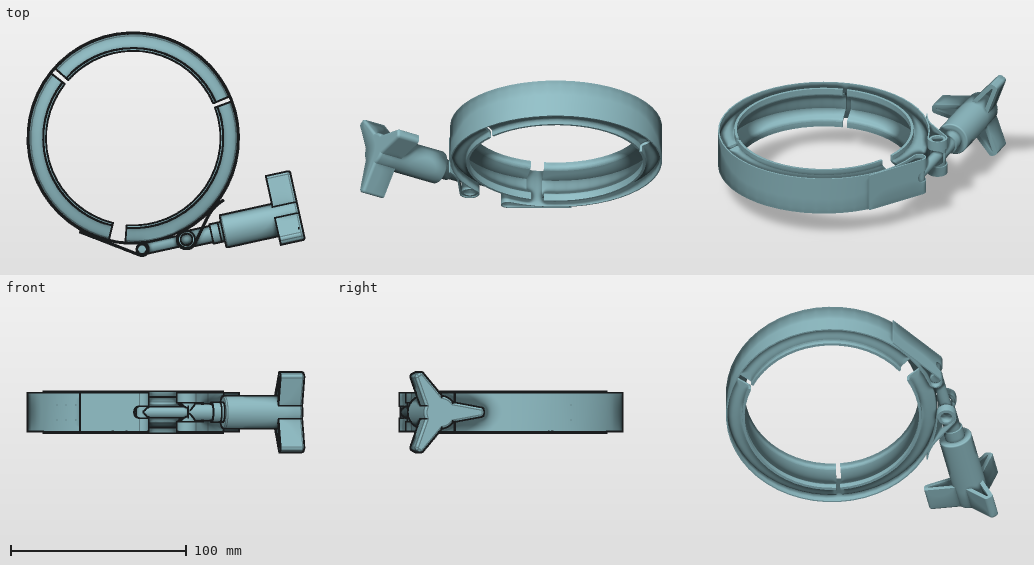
import cadquery as cq
import math

STRAP_OUTER_R = 60.15
STRAP_T = 0.76
STRAP_WIDTH = 22.1
FOLD_GAP = 0.05
BOLT_EYE_ANGLE = -85.5
BOLT_TAIL_LENGTH = 8.9
TRUNNION_EYE_ANGLE = -62.25
TRUNNION_TAIL_R = 24.0
TRUNNION_TAIL_TOUCH = -41.3
TRUNNION_TAIL_SWEEP = 17.5
BOLT_HOLE_D = 6.73
TRUNNION_EYE_D = 9.77
TRUNNION_SLOT_HEIGHT = 10.6

SEGMENT_STARTS = [23.4, 141.7, 265.6]
SEGMENT_SPAN = 114.9
SEGMENT_HEIGHT = 24.0
SEGMENT_T = 1.5
LEG_TILT = 20.0
LIP_OUTER_R = 51.0
LIP_ROOT_Z = 8.6
BEND_R = 1.7
LIP_ROOT_FILLET = 0.4

ROD_D = 6.35
CROSS_PIN_D = 6.3
CROSS_PIN_LENGTH = 15.5
CROSS_PIN_END_D = 5.36
ROD_END = 62.0

TRUNNION_D = 9.53
TRUNNION_LENGTH = 20.6
TRUNNION_BORE_D = 6.73
ROD_ENTRY_D = 10.6
SLEEVE_END = 40.4

COLLAR_D = 11.43
SPACER_END = 45.2
KNOB_START = 47.0
KNOB_END = 91.6
KNOB_D = 18.92
KNOB_FRONT_FILLET = 0.8
WING_COUNT = 3
WING_START = 77.5
WING_TIP_DISTANCE = 25.61
WING_TIP_HALF_WIDTH = 2.45
WING_TIP_FILLET = 1.8
WING_ROOT_HALF_WIDTH = 7.1
WING_WALL = 2.5
WING_POCKET_DEPTH = 12.0
KNOB_REAR_FILLET = 1.5


def polar(radius, angle, center=(0, 0)):
    a = math.radians(angle)
    return (center[0] + radius * math.cos(a), center[1] + radius * math.sin(a))


STRAP_MID_R = STRAP_OUTER_R - STRAP_T / 2
STRAP_INNER_R = STRAP_OUTER_R - STRAP_T
TAIL_MID_R = STRAP_OUTER_R + FOLD_GAP + STRAP_T / 2
BOLT_EYE_MID_R = (CROSS_PIN_D + STRAP_T) / 2
TRUNNION_EYE_MID_R = (TRUNNION_EYE_D + STRAP_T) / 2
BOLT_EYE = polar(STRAP_MID_R + BOLT_EYE_MID_R, BOLT_EYE_ANGLE)
TRUNNION_EYE = polar(STRAP_MID_R + TRUNNION_EYE_MID_R, TRUNNION_EYE_ANGLE)
BOLT_ANGLE = math.degrees(
    math.atan2(TRUNNION_EYE[1] - BOLT_EYE[1], TRUNNION_EYE[0] - BOLT_EYE[0])
)
ROD_DIRECTION = polar(1, BOLT_ANGLE)
ROD_NORMAL = polar(1, BOLT_ANGLE + 90)
TRUNNION_DISTANCE = math.dist(BOLT_EYE, TRUNNION_EYE)


def rod_plane(distance):
    """Plane square to the rod; local x is across the rod in the XY plane and local y is Z."""
    origin = polar(distance, BOLT_ANGLE, BOLT_EYE)
    return cq.Plane(origin=(*origin, 0), xDir=(*ROD_NORMAL, 0), normal=(*ROD_DIRECTION, 0))


def rod_cylinder(diameter, start, end):
    return cq.Workplane(rod_plane(start)).circle(diameter / 2).extrude(end - start)


def upright_cylinder(center, diameter, height):
    return cq.Workplane("XY").center(*center).circle(diameter / 2).extrude(height / 2, both=True)


def retainer_segment(start):
    slope = math.tan(math.radians(LEG_TILT))
    leg_shift = SEGMENT_T / math.cos(math.radians(LEG_TILT))
    lip_inner = LIP_OUTER_R - SEGMENT_T
    base_inner = STRAP_INNER_R - SEGMENT_T

    def leg_z(radius):
        return LIP_ROOT_Z - (radius - LIP_OUTER_R) * slope

    upper_outside = [
        (STRAP_INNER_R, leg_z(STRAP_INNER_R)),
        (LIP_OUTER_R, LIP_ROOT_Z),
        (LIP_OUTER_R, SEGMENT_HEIGHT / 2),
    ]
    upper_inside = [
        (lip_inner, SEGMENT_HEIGHT / 2),
        (lip_inner, leg_z(lip_inner) - leg_shift),
        (base_inner, leg_z(base_inner) - leg_shift),
    ]
    upper = upper_outside + upper_inside
    lower = [(r, -z) for r, z in reversed(upper)]
    ring = (
        cq.Workplane("XZ")
        .polyline(upper + lower)
        .close()
        .revolve(SEGMENT_SPAN, (0, 0, 0), (0, 1, 0))
    )
    bends = [
        (leg_z(STRAP_INNER_R), BEND_R),
        (leg_z(lip_inner) - leg_shift, BEND_R),
        (LIP_ROOT_Z, LIP_ROOT_FILLET),
    ]
    for bend_z, radius in bends:
        for z in (bend_z, -bend_z):
            ring = ring.edges(level_box(z)).fillet(radius)
    return ring.rotate((0, 0, 0), (0, 0, 1), start)


def level_box(z):
    """Selects the edges that lie level at height z."""
    reach = 2 * STRAP_OUTER_R
    slack = 0.1
    return cq.selectors.BoxSelector(
        (-reach, -reach, z - slack), (reach, reach, z + slack), boundingbox=True
    )


segments = [retainer_segment(start) for start in SEGMENT_STARTS]


def arc_strip(center, mid_radius, start, end):
    """Strip bent along an arc that runs counterclockwise from start to end."""
    inner = mid_radius - STRAP_T / 2
    outer = mid_radius + STRAP_T / 2
    middle = (start + end) / 2
    return (
        cq.Workplane("XY")
        .moveTo(*polar(inner, start, center))
        .threePointArc(polar(inner, middle, center), polar(inner, end, center))
        .lineTo(*polar(outer, end, center))
        .threePointArc(polar(outer, middle, center), polar(outer, start, center))
        .close()
        .extrude(STRAP_WIDTH / 2, both=True)
    )


def straight_strip(start, end):
    length = math.dist(start, end)
    angle = math.degrees(math.atan2(end[1] - start[1], end[0] - start[0]))
    return (
        cq.Workplane("XY")
        .box(length, STRAP_T, STRAP_WIDTH)
        .rotate((0, 0, 0), (0, 0, 1), angle)
        .translate(((start[0] + end[0]) / 2, (start[1] + end[1]) / 2, 0))
    )


def bolt_eye_strips():
    """Eye around the cross pin and its straight tail, which lies tangent to the ring."""
    eye_distance = math.hypot(*BOLT_EYE)
    turn = math.degrees(math.acos((TAIL_MID_R - BOLT_EYE_MID_R) / eye_distance))
    tail_normal = BOLT_EYE_ANGLE - turn
    tail_start = polar(BOLT_EYE_MID_R, tail_normal, BOLT_EYE)
    tail_end = polar(BOLT_TAIL_LENGTH, tail_normal - 90, polar(TAIL_MID_R, tail_normal))
    eye = arc_strip(BOLT_EYE, BOLT_EYE_MID_R, tail_normal, BOLT_EYE_ANGLE + 180)
    hole_plane = cq.Plane(
        origin=(*BOLT_EYE, 0),
        xDir=(*polar(1, tail_normal + 90), 0),
        normal=(*polar(1, tail_normal), 0),
    )
    reach = 2 * BOLT_HOLE_D
    tail_hole = cq.Workplane(hole_plane).circle(BOLT_HOLE_D / 2).extrude(reach)
    bend_slot = (
        cq.Workplane(hole_plane)
        .center(reach / 2, 0)
        .rect(reach, BOLT_HOLE_D)
        .extrude(reach)
    )
    eye = eye.union(straight_strip(tail_start, tail_end))
    return eye.cut(tail_hole).cut(bend_slot)


def trunnion_eye_strips():
    """Eye around the trunnion, a straight stretch, and a tail that curves past the ring."""
    tail_center = polar(TAIL_MID_R + TRUNNION_TAIL_R, TRUNNION_TAIL_TOUCH)
    span_x = tail_center[0] - TRUNNION_EYE[0]
    span_y = tail_center[1] - TRUNNION_EYE[1]
    span_angle = math.degrees(math.atan2(span_y, span_x))
    radii = TRUNNION_EYE_MID_R + TRUNNION_TAIL_R
    normal = span_angle - math.degrees(math.acos(radii / math.hypot(span_x, span_y)))
    stretch_start = polar(TRUNNION_EYE_MID_R, normal, TRUNNION_EYE)
    stretch_end = polar(TRUNNION_TAIL_R, normal + 180, tail_center)
    tail_end_angle = TRUNNION_TAIL_TOUCH + 180 - TRUNNION_TAIL_SWEEP
    eye = arc_strip(TRUNNION_EYE, TRUNNION_EYE_MID_R, TRUNNION_EYE_ANGLE - 180, normal)
    tail = arc_strip(tail_center, TRUNNION_TAIL_R, tail_end_angle, normal + 180)
    slot = (
        cq.Workplane(rod_plane(TRUNNION_DISTANCE - TRUNNION_D))
        .center(-TRUNNION_D / 2, 0)
        .rect(2 * TRUNNION_D, TRUNNION_SLOT_HEIGHT)
        .extrude(SLEEVE_END - TRUNNION_DISTANCE + TRUNNION_D)
    )
    return eye.union(straight_strip(stretch_start, stretch_end)).union(tail).cut(slot)


ring = arc_strip((0, 0), STRAP_MID_R, TRUNNION_EYE_ANGLE, BOLT_EYE_ANGLE + 360)
rod_hole = rod_cylinder(BOLT_HOLE_D, 0, 2 * BOLT_HOLE_D)
strap = ring.union(bolt_eye_strips()).cut(rod_hole).union(trunnion_eye_strips())

pin_chamfer = (CROSS_PIN_D - CROSS_PIN_END_D) / 2
cross_pin = (
    upright_cylinder(BOLT_EYE, CROSS_PIN_D, CROSS_PIN_LENGTH)
    .faces("<Z or >Z")
    .chamfer(pin_chamfer)
)
t_bolt = cross_pin.union(rod_cylinder(ROD_D, 0, ROD_END))

trunnion = (
    upright_cylinder(TRUNNION_EYE, TRUNNION_D, TRUNNION_LENGTH)
    .union(rod_cylinder(TRUNNION_D, TRUNNION_DISTANCE, SLEEVE_END))
    .cut(upright_cylinder(TRUNNION_EYE, TRUNNION_BORE_D, TRUNNION_LENGTH))
    .cut(rod_cylinder(ROD_ENTRY_D, TRUNNION_DISTANCE - TRUNNION_D, TRUNNION_DISTANCE))
    .cut(rod_cylinder(BOLT_HOLE_D, TRUNNION_DISTANCE, SLEEVE_END))
)


def collar(start, end):
    return rod_cylinder(COLLAR_D, start, end).cut(rod_cylinder(ROD_D, start, end))


spacer = collar(SLEEVE_END, SPACER_END)
nut = collar(SPACER_END, KNOB_START)


def wing_section(start, inset):
    """Tapered wing section on a plane across the rod, set in from the wing outline."""
    taper = (WING_ROOT_HALF_WIDTH - WING_TIP_HALF_WIDTH) / WING_TIP_DISTANCE
    root = WING_ROOT_HALF_WIDTH - inset
    tip_distance = WING_TIP_DISTANCE - inset
    tip = root - taper * tip_distance
    corners = [(0, -root), (tip_distance, -tip), (tip_distance, tip), (0, root)]
    return cq.Workplane(rod_plane(start)).polyline(corners).close()


def turned(body, index):
    """The wing body turned about the rod to its place in the pattern."""
    axis_start = cq.Vector(*BOLT_EYE, 0)
    axis_end = axis_start + cq.Vector(*ROD_DIRECTION, 0)
    return body.rotate(axis_start, axis_end, index * 360 / WING_COUNT)


def knob_body():
    rod_axis = cq.Vector(*ROD_DIRECTION, 0)
    rear = cq.selectors.DirectionMinMaxSelector(rod_axis, True)
    front = cq.selectors.DirectionMinMaxSelector(rod_axis, False)
    tip = cq.selectors.DirectionMinMaxSelector(cq.Vector(*ROD_NORMAL, 0), True)
    hub = (
        rod_cylinder(KNOB_D, KNOB_START, KNOB_END)
        .faces(front)
        .edges()
        .fillet(KNOB_FRONT_FILLET)
        .faces(rear)
        .edges()
        .fillet(KNOB_REAR_FILLET)
    )
    wing = (
        wing_section(WING_START, 0)
        .extrude(KNOB_END - WING_START)
        .faces(tip)
        .edges(cq.selectors.ParallelDirSelector(rod_axis))
        .fillet(WING_TIP_FILLET)
        .faces(rear)
        .edges()
        .fillet(KNOB_REAR_FILLET)
    )
    pocket = wing_section(WING_START, WING_WALL).extrude(WING_POCKET_DEPTH)
    hollow_wing = wing.cut(pocket)
    body = hub
    for index in range(WING_COUNT):
        body = body.union(turned(hollow_wing, index))
    return body.cut(rod_cylinder(ROD_D, KNOB_START, ROD_END))


knob = knob_body()

bodies = [*segments, strap, t_bolt, trunnion, spacer, nut, knob]
result = cq.Compound.makeCompound([body.solids().val() for body in bodies])